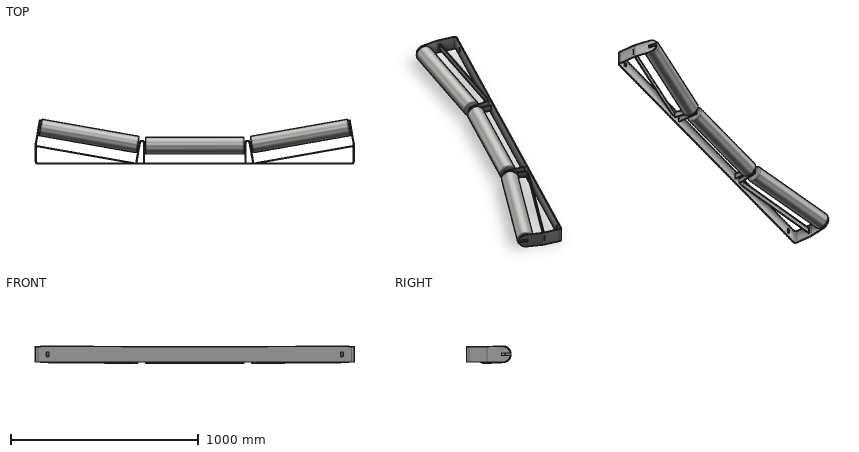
import cadquery as cq
import math

LENGTH = 1700.0
PLATE = 6.0
STRIP_WIDTH = 83.0
STRIP_Z = 2.0
CORNER_RADIUS = 14.0
TROUGH_ANGLE = 10.0
WALL_BEND_Y = 109.0
WALL_TOP_Y = 235.0
MOUNT_SLOT_X = 784.0
MOUNT_SLOT_WIDTH = 15.0
MOUNT_SLOT_HEIGHT = 27.0

ROLLER_DIAMETER = 90.0
ROLLER_LENGTH = 527.0
ROLLER_EDGE_RADIUS = 5.0
SHAFT_DIAMETER = 20.0
SHAFT_FLATS = 15.0
SHAFT_OVERHANG = 10.0
SLOT_OVERHANG = 17.0
CENTRE_Y = 99.0
CENTRE_Z = -2.0
WING_X = 563.0
WING_Y = 150.0
WING_Z = 0.0
WING_TILT = 0.5

BRACKET_INNER_X = 267.0
BRACKET_FOOT_X = 315.0
BRACKET_TOP_Y = 125.0
BRACKET_WIDTH = 35.0
BRACKET_FOLD_RADIUS = 12.0

STRUT_THICKNESS = 5.0
STRUT_WIDTH = 35.0
STRUT_TOP_Y = 99.0

SIDES = (-1, 1)
SLOPE = math.tan(math.radians(TROUGH_ANGLE))
LEAN = math.cos(math.radians(TROUGH_ANGLE))
SLANTED_PLATE = PLATE / LEAN
SHAFT_LENGTH = ROLLER_LENGTH + 2 * SHAFT_OVERHANG
SLOT_LENGTH = ROLLER_LENGTH + 2 * SLOT_OVERHANG
SLOT_REACH = WALL_TOP_Y


def polygon_prism(points, width):
    """Prism along Z, centred on the strip, from an outline in the XY plane."""
    start = cq.Workplane("XY").workplane(offset=STRIP_Z - width / 2)
    return start.polyline(points).close().extrude(width)


def mirrored_outline(half_points):
    """Outline symmetric about X = 0 from its points on the +X side."""
    return half_points + [(-x, y) for x, y in reversed(half_points)]


def cylinder_along_x(diameter, length):
    return cq.Workplane("YZ").workplane(offset=-length / 2).circle(diameter / 2).extrude(length)


def rounded_blank(top_y, width):
    """Long bar with a full-round +Y edge, used to round the ends of upright plates."""
    radius = width / 2
    return (
        cq.Workplane("YZ")
        .workplane(offset=-LENGTH / 2)
        .moveTo(0, STRIP_Z - radius)
        .lineTo(top_y - radius, STRIP_Z - radius)
        .threePointArc((top_y, STRIP_Z), (top_y - radius, STRIP_Z + radius))
        .lineTo(0, STRIP_Z + radius)
        .close()
        .extrude(LENGTH)
    )


def place_centre(body):
    return body.translate((0, CENTRE_Y, CENTRE_Z))


def place_wing(body, side):
    """Move a body from the X axis to the inclined axis of a wing roller."""
    tilted = body.rotate((0, 0, 0), (0, 1, 0), -side * WING_TILT)
    inclined = tilted.rotate((0, 0, 0), (0, 0, 1), side * TROUGH_ANGLE)
    return inclined.translate((side * WING_X, WING_Y, WING_Z))


def make_shaft(length):
    """Round shaft along X with flats on its upper and lower sides."""
    flats = cq.Workplane("XY").box(length, SHAFT_DIAMETER, SHAFT_FLATS)
    return cylinder_along_x(SHAFT_DIAMETER, length).intersect(flats)


def make_roller():
    shell = cylinder_along_x(ROLLER_DIAMETER, ROLLER_LENGTH).edges("%CIRCLE").fillet(ROLLER_EDGE_RADIUS)
    return shell.union(make_shaft(SHAFT_LENGTH))


def make_slot_cutter():
    """Seat of the shaft, open toward +Y so that the roller can be dropped in."""
    opening = cq.Workplane("XY").box(SLOT_LENGTH, SLOT_REACH, SHAFT_FLATS)
    return make_shaft(SLOT_LENGTH).union(opening.translate((0, SLOT_REACH / 2, 0)))


def make_base():
    """Strip bent up at both ends, with rounded, slotted and inward-leaning end walls."""
    outer_x = LENGTH / 2
    inner_x = outer_x - PLATE
    lean_in = (WALL_TOP_Y - WALL_BEND_Y) * SLOPE
    outer = polygon_prism(
        mirrored_outline([(outer_x, 0), (outer_x, WALL_BEND_Y), (outer_x - lean_in, WALL_TOP_Y)]),
        STRIP_WIDTH,
    )
    wall_top_inner_x = outer_x - lean_in - SLANTED_PLATE
    inner = polygon_prism(
        mirrored_outline([(inner_x, PLATE), (inner_x, WALL_BEND_Y), (wall_top_inner_x, WALL_TOP_Y)]),
        STRIP_WIDTH,
    )
    outer = outer.edges("|Z and <Y").fillet(CORNER_RADIUS)
    inner = inner.edges("|Z and <Y").fillet(CORNER_RADIUS - PLATE)
    base = outer.cut(inner).intersect(rounded_blank(WALL_TOP_Y, STRIP_WIDTH))

    mount_slots = (
        cq.Workplane("XZ", origin=(0, PLATE, STRIP_Z))
        .pushPoints([(side * MOUNT_SLOT_X, 0) for side in SIDES])
        .slot2D(MOUNT_SLOT_HEIGHT, MOUNT_SLOT_WIDTH, 90)
        .extrude(PLATE)
    )
    base = base.cut(mount_slots)
    for side in SIDES:
        base = base.cut(place_wing(make_slot_cutter(), side))
    return base


def make_bracket(side):
    """Folded plate: one leg square to the centre roller, the other to a wing roller."""

    def wedge(inner_x, foot_x, top_y, fold_radius):
        top_x = foot_x - (top_y - PLATE) * SLOPE
        points = [(inner_x, PLATE), (inner_x, top_y), (top_x, top_y), (foot_x, PLATE)]
        placed = [(side * x, y) for x, y in points]
        return polygon_prism(placed, BRACKET_WIDTH).edges("|Z and >Y").fillet(fold_radius)

    outer = wedge(BRACKET_INNER_X, BRACKET_FOOT_X, BRACKET_TOP_Y, BRACKET_FOLD_RADIUS)
    inner = wedge(
        BRACKET_INNER_X + PLATE,
        BRACKET_FOOT_X - SLANTED_PLATE,
        BRACKET_TOP_Y - PLATE,
        BRACKET_FOLD_RADIUS - PLATE,
    )
    folded = outer.cut(inner)
    slotted = folded.cut(place_centre(make_slot_cutter()))
    return slotted.cut(place_wing(make_slot_cutter(), side))


def make_strut(side):
    """Sloping flat bar from the inside of an end wall down to the base."""
    wall_x = LENGTH / 2 - PLATE
    lower_y = STRUT_TOP_Y - STRUT_THICKNESS / LEAN
    points = [
        (wall_x, STRUT_TOP_Y),
        (wall_x, lower_y),
        (wall_x - (lower_y - PLATE) / SLOPE, PLATE),
        (wall_x - (STRUT_TOP_Y - PLATE) / SLOPE, PLATE),
    ]
    return polygon_prism([(side * x, y) for x, y in points], STRUT_WIDTH)


base = make_base()
centre_roller = place_centre(make_roller())
wing_rollers = [place_wing(make_roller(), side) for side in SIDES]
brackets = [make_bracket(side) for side in SIDES]
struts = [make_strut(side) for side in SIDES]

bodies = [base, centre_roller, *wing_rollers, *brackets, *struts]
result = cq.Compound.makeCompound([body.val() for body in bodies])